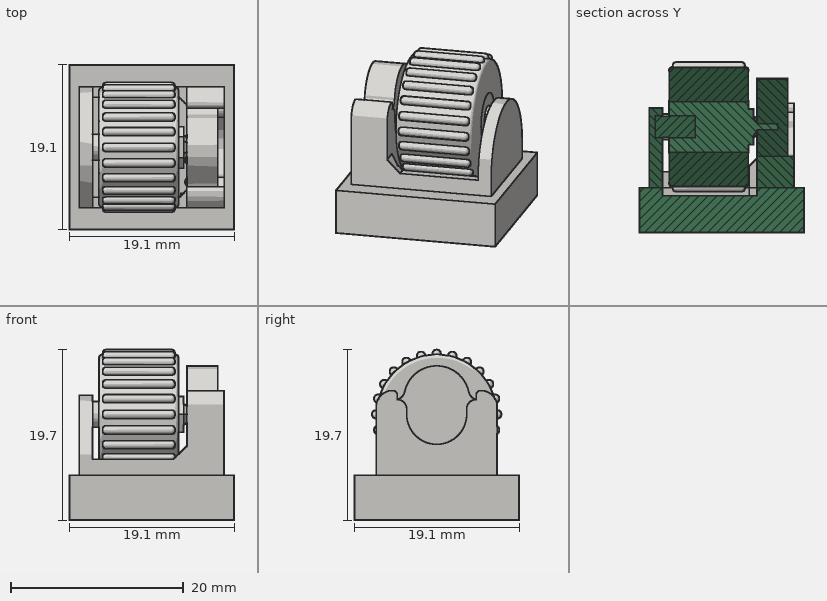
import cadquery as cq
import math

base_side = 19.05
base_height = 5.22

rib_count = 24
rib_radius = 0.5
rib_circle_radius = 7.0
rib_end_fillet = 0.4
rib_setback = 0.42
wheel_radius = 6.93
wheel_fillet = 0.4
wheel_left = -6.1
wheel_right = 3.12
wheel_top = 19.74
axis_height = wheel_top - rib_circle_radius - rib_radius

bracket_left = -8.38
bracket_right = 8.38
bracket_half_width = 7.0
left_wall_thickness = 1.55
left_wall_inner = bracket_left + left_wall_thickness
left_wall_top = 14.48
left_wall_round_start = 7.61
floor_height = 7.07
right_wall_inner = 4.07
wall_chamfer = 1.55
shoulder_height = 13.37
arm_top = 14.99
arm_peak_y = 5.08
arm_round_radius = 1.92
lip_radius = 0.53

saddle_half_width = arm_peak_y - lip_radius
saddle_height = 13.95
slot_radius = 3.47
saddle_round = saddle_half_width - slot_radius

pocket_half_width = 5.79
pocket_corner = 0.9
pocket_bottom = 4.3

encoder_right = 7.65
encoder_top = 17.85
crown_half_width = 3.7
crown_end_height = 14.86
flare_radius = 1.23

hub_radius = 3.0
collar_flats = 4.15
collar_right = 3.68
tip_root_flats = 2.48
tip_flats = 1.8
taper_end = 4.2
tip_end = 6.5

axle_radius = 1.5
axle_in_wall = 0.8
axle_in_hub = 3.0

pin_hole_diameter = 1.0
pin_hole_x = 4.37
pin_hole_count = 3
pin_hole_pitch = 2.5
pin_hole_first_y = -4.0
leg_slot_side = 1.4
leg_slot_left = 3.38
leg_slot_back_y = -5.32


def cross_section(x, height=0.0):
    """Sketch plane across X at x: local x is Y and local y is Z measured from height."""
    return cq.Workplane("YZ", origin=(x, 0, height))


def hexagon(flats):
    """Circumscribed diameter of a hexagon given across its flats."""
    return flats / math.cos(math.pi / 6)


def wheel_pocket(z_bottom, z_top):
    """Pocket below the wheel, with its two right corners bevelled."""
    corner_y = pocket_half_width - pocket_corner
    corner_x = right_wall_inner - pocket_corner
    return (
        cq.Workplane("XY", origin=(0, 0, z_bottom))
        .moveTo(left_wall_inner, -pocket_half_width)
        .lineTo(corner_x, -pocket_half_width)
        .lineTo(right_wall_inner, -corner_y)
        .lineTo(right_wall_inner, corner_y)
        .lineTo(corner_x, pocket_half_width)
        .lineTo(left_wall_inner, pocket_half_width)
        .close()
        .extrude(z_top - z_bottom)
    )


def belly(outline):
    """Continue an outline from the left saddle edge down around the slot to the right one."""
    bend = saddle_round * (1 - math.sqrt(0.5))
    bend_end = saddle_height - saddle_round
    bend_y = slot_radius + bend
    bend_z = saddle_height - bend
    return (
        outline.threePointArc((-bend_y, bend_z), (-slot_radius, bend_end))
        .lineTo(-slot_radius, axis_height)
        .threePointArc((0, axis_height - slot_radius), (slot_radius, axis_height))
        .lineTo(slot_radius, bend_end)
        .threePointArc((bend_y, bend_z), (saddle_half_width, saddle_height))
    )


def make_base():
    base = cq.Workplane("XY").box(base_side, base_side, base_height, centered=(True, True, False))
    base = base.cut(wheel_pocket(pocket_bottom, base_height))
    pin_holes = (
        cq.Workplane("XY")
        .pushPoints([(pin_hole_x, pin_hole_first_y + i * pin_hole_pitch) for i in range(pin_hole_count)])
        .circle(pin_hole_diameter / 2)
        .extrude(base_height)
    )
    leg_slot = (
        cq.Workplane("XY", origin=(leg_slot_left, leg_slot_back_y - leg_slot_side, 0))
        .rect(leg_slot_side, leg_slot_side, centered=False)
        .extrude(base_height)
    )
    return base.cut(pin_holes).cut(leg_slot)


def left_wall():
    return (
        cross_section(bracket_left)
        .moveTo(-bracket_half_width, base_height)
        .lineTo(bracket_half_width, base_height)
        .lineTo(bracket_half_width, left_wall_round_start)
        .threePointArc((0, left_wall_top), (-bracket_half_width, left_wall_round_start))
        .close()
        .extrude(left_wall_thickness)
    )


def right_wall():
    """Wall with two round-topped arms and the encoder saddle between them."""
    lip_bottom = arm_top - lip_radius
    outline = (
        cross_section(right_wall_inner)
        .moveTo(bracket_half_width, base_height)
        .lineTo(-bracket_half_width, base_height)
        .lineTo(-bracket_half_width, shoulder_height)
        .radiusArc((-arm_peak_y, arm_top), arm_round_radius)
        .radiusArc((-saddle_half_width, lip_bottom), lip_radius)
        .lineTo(-saddle_half_width, saddle_height)
    )
    return (
        belly(outline)
        .lineTo(saddle_half_width, lip_bottom)
        .radiusArc((arm_peak_y, arm_top), lip_radius)
        .radiusArc((bracket_half_width, shoulder_height), arm_round_radius)
        .close()
        .extrude(bracket_right - right_wall_inner)
    )


def bracket_floor():
    """Floor plate with the 45-degree ramp at the foot of the right wall."""
    return (
        cq.Workplane("XZ", origin=(0, bracket_half_width, 0))
        .moveTo(left_wall_inner, base_height)
        .lineTo(right_wall_inner, base_height)
        .lineTo(right_wall_inner, floor_height + wall_chamfer)
        .lineTo(right_wall_inner - wall_chamfer, floor_height)
        .lineTo(left_wall_inner, floor_height)
        .close()
        .extrude(2 * bracket_half_width)
    )


def make_bracket():
    bracket = left_wall().union(bracket_floor()).union(right_wall())
    return bracket.cut(wheel_pocket(base_height, floor_height + wall_chamfer))


def make_rib(angle):
    rib_left = wheel_left + rib_setback
    rib_length = wheel_right - rib_setback - rib_left
    return (
        cross_section(rib_left, axis_height)
        .center(0, rib_circle_radius)
        .circle(rib_radius)
        .extrude(rib_length)
        .edges("%CIRCLE")
        .fillet(rib_end_fillet)
        .rotate((0, 0, axis_height), (1, 0, axis_height), angle)
    )


def make_wheel():
    wheel = (
        cross_section(wheel_left, axis_height)
        .circle(wheel_radius)
        .extrude(wheel_right - wheel_left)
        .edges()
        .fillet(wheel_fillet)
    )
    for i in range(rib_count):
        wheel = wheel.union(make_rib(i * 360 / rib_count))
    return wheel.cut(make_hub())


def make_hub():
    return cross_section(wheel_left, axis_height).circle(hub_radius).extrude(wheel_right - wheel_left)


def make_tip():
    taper = (
        cross_section(collar_right, axis_height)
        .polygon(6, hexagon(tip_root_flats))
        .workplane(offset=taper_end - collar_right)
        .polygon(6, hexagon(tip_flats))
        .loft(ruled=True)
    )
    straight = (
        cross_section(taper_end, axis_height)
        .polygon(6, hexagon(tip_flats))
        .extrude(tip_end - taper_end)
    )
    return taper.union(straight)


def make_shaft():
    collar = (
        cross_section(wheel_right, axis_height)
        .polygon(6, hexagon(collar_flats))
        .extrude(collar_right - wheel_right)
    )
    return make_hub().union(collar).union(make_tip())


def make_axle():
    axle_left = left_wall_inner - axle_in_wall
    axle_right = wheel_left + axle_in_hub
    return cross_section(axle_left, axis_height).circle(axle_radius).extrude(axle_right - axle_left)


def make_encoder():
    """Encoder: round crown above, flared sides on the saddle, half-round belly on the axis."""
    outline = (
        cross_section(right_wall_inner)
        .moveTo(crown_half_width, crown_end_height)
        .threePointArc((0, encoder_top), (-crown_half_width, crown_end_height))
        .radiusArc((-saddle_half_width, saddle_height), flare_radius)
    )
    return (
        belly(outline)
        .radiusArc((crown_half_width, crown_end_height), flare_radius)
        .close()
        .extrude(encoder_right - right_wall_inner)
    )


axle = make_axle()
base = make_base()
bracket = make_bracket().cut(axle)
wheel = make_wheel()
shaft = make_shaft().cut(axle)
encoder = make_encoder().cut(make_tip())

result = cq.Compound.makeCompound(
    [base.val(), bracket.val(), wheel.val(), shaft.val(), axle.val(), encoder.val()]
)